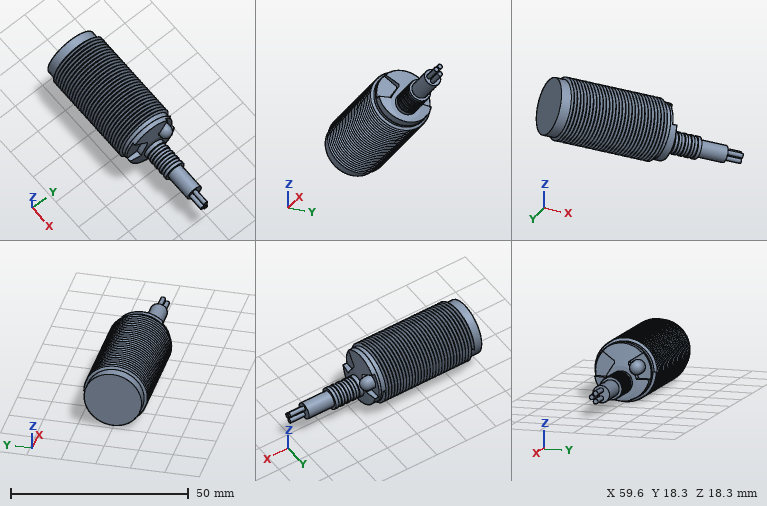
import cadquery as cq
import math


housing_length = 34.0
core_radius = 8.33
thread_pitch = 1.0
thread_turns = 30
thread_start = 3.0
thread_height = 0.8
thread_flank_slope = math.tan(math.radians(30))
thread_overlap = 0.05

cap_radius = 8.25
cap_end = 36.6
cap_slope = math.tan(math.radians(10))
exit_z = -2.8
boss_radius = 4.65

notch_start = 34.75
notch_floor_z = -1.7
notch_flank_angle = math.radians(33)
notch_flank_length = 3.87
notch_fillet = 0.67
notch_reach = 10.0

lamp_radius = 2.05
lamp_y = 4.5
lamp_z = 1.65
lamp_dome_start = 36.4

relief_end = 46.05
relief_radius = 3.3
groove_depth = 0.2
groove_floor_width = 0.85
groove_width = 1.2
groove_count = 4
groove_pitch = 2.0
first_groove_x = 38.45

total_length = 59.61
wire_length = 5.0
cable_radius = 2.5
wire_radius = 0.7
wire_offset = 1.15
cable_end = total_length - wire_length


def rod(start, end, radius, y=0.0, z=0.0):
    """Round rod along X."""
    return cq.Workplane("YZ", origin=(start, y, z)).circle(radius).extrude(end - start)


def make_thread():
    """Right-handed ridge with a pointed crest, starting on the +Y side."""
    root_radius = core_radius - thread_overlap
    crest_radius = core_radius + thread_height
    half_width = (crest_radius - root_radius) * thread_flank_slope
    path = cq.Wire.makeHelix(thread_pitch, thread_turns * thread_pitch, core_radius)
    ridge = (
        cq.Workplane("XZ")
        .polyline([(root_radius, -half_width), (crest_radius, 0), (root_radius, half_width)])
        .close()
        .sweep(cq.Workplane(obj=path), isFrenet=True)
    )
    along_x = ridge.rotate((0, 0, 0), (1, 1, 1), 120)
    return along_x.translate((thread_start, 0, 0))


def make_housing():
    return rod(0, housing_length, core_radius).union(make_thread())


def notch(side):
    """Cutter for the notch on one side (+1 or -1 in Y), bounded inside by the boss round the cable."""
    cos_flank = math.cos(notch_flank_angle)
    sin_flank = math.sin(notch_flank_angle)
    floor_angle = math.asin((notch_floor_z - exit_z) / boss_radius)
    middle_angle = (floor_angle + notch_flank_angle) / 2

    def on_boss(angle):
        return side * boss_radius * math.cos(angle), exit_z + boss_radius * math.sin(angle)

    corner_y = boss_radius * cos_flank - notch_flank_length * sin_flank
    corner_z = exit_z + boss_radius * sin_flank + notch_flank_length * cos_flank
    roof_end_z = corner_z + (notch_reach - corner_y) * math.tan(notch_flank_angle)
    depth = cap_end - notch_start
    cutter = (
        cq.Workplane("YZ", origin=(notch_start, 0, 0))
        .moveTo(side * notch_reach, notch_floor_z)
        .lineTo(*on_boss(floor_angle))
        .threePointArc(on_boss(middle_angle), on_boss(notch_flank_angle))
        .lineTo(side * corner_y, corner_z)
        .lineTo(side * notch_reach, roof_end_z)
        .close()
        .extrude(depth)
    )
    corner = cq.selectors.NearestToPointSelector((notch_start + depth / 2, side * corner_y, corner_z))
    return cutter.edges("|X").edges(corner).fillet(notch_fillet)


def make_cap():
    """Disc whose end slopes away as a cone around the cable axis, with a notch on each side."""
    reach = cap_radius + abs(exit_z)
    cone_drop = (reach - boss_radius) * cap_slope
    cone = (
        cq.Workplane("XY", origin=(0, 0, exit_z))
        .moveTo(housing_length, 0)
        .lineTo(cap_end, 0)
        .lineTo(cap_end, boss_radius)
        .lineTo(cap_end - cone_drop, reach)
        .lineTo(housing_length, reach)
        .close()
        .revolve(360, (0, 0, 0), (1, 0, 0))
    )
    cap = rod(housing_length, cap_end, cap_radius).intersect(cone)
    for side in (-1, 1):
        cap = cap.cut(notch(side))
    return cap


def make_lamp():
    """Round lamp with a domed end, standing in the +Y notch."""
    dome = cq.Workplane("XY", origin=(lamp_dome_start, lamp_y, lamp_z)).sphere(lamp_radius)
    return rod(notch_start, lamp_dome_start, lamp_radius, lamp_y, lamp_z).union(
        dome.intersect(rod(lamp_dome_start, lamp_dome_start + lamp_radius, lamp_radius, lamp_y, lamp_z))
    )


def make_relief():
    """Sleeve around the cable with sloped-sided ring grooves."""
    floor_radius = relief_radius - groove_depth
    outline = cq.Workplane("XY", origin=(0, 0, exit_z)).moveTo(notch_start, 0)
    outline = outline.lineTo(notch_start, relief_radius)
    for i in range(groove_count):
        center = first_groove_x + i * groove_pitch
        outline = (
            outline.lineTo(center - groove_width / 2, relief_radius)
            .lineTo(center - groove_floor_width / 2, floor_radius)
            .lineTo(center + groove_floor_width / 2, floor_radius)
            .lineTo(center + groove_width / 2, relief_radius)
        )
    outline = outline.lineTo(relief_end, relief_radius).lineTo(relief_end, 0).close()
    return outline.revolve(360, (0, 0, 0), (1, 0, 0))


def make_cable():
    """Cable with three wires: one on its -Y side, one above and one below its axis."""
    cable = rod(relief_end, cable_end, cable_radius, z=exit_z)
    wire_places = [
        (-wire_offset, 0),
        (0, -wire_offset),
        (0, wire_offset),
    ]
    for y, z in wire_places:
        cable = cable.union(rod(cable_end, total_length, wire_radius, y, exit_z + z))
    return cable


def make_cable_end():
    return make_cap().union(make_lamp()).union(make_relief()).union(make_cable())


housing = make_housing()
cable_end_body = make_cable_end()

result = cq.Compound.makeCompound([housing.solids().val(), cable_end_body.solids().val()])